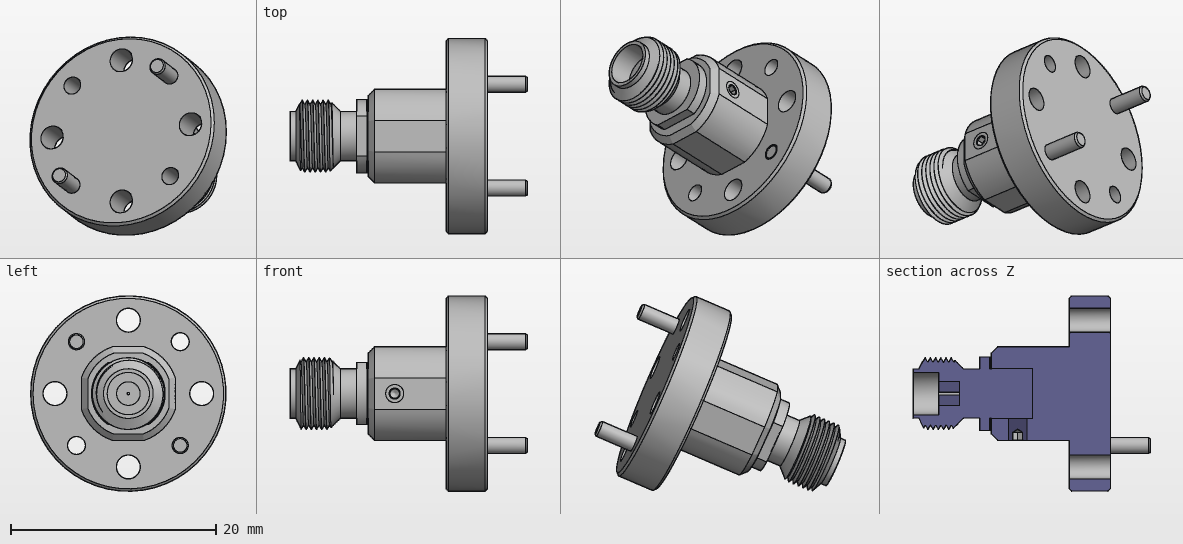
import cadquery as cq
import math


flange_radius = 19.05 / 2
flange_thickness = 4.05
flange_chamfer = 0.25
bolt_circle_radius = 14.29 / 2
screw_hole_radius = 1.15
guide_hole_radius = 0.86

pin_radius = 0.79
pin_protrusion = 3.88
pin_chamfer_length = 0.2
pin_chamfer_depth = 0.13

barrel_length = 7.58
barrel_radius = 4.82
barrel_across_flats = 9.14
barrel_chamfer = 0.63
barrel_front = -flange_thickness - barrel_length

connector_length = 7.61
connector_front = barrel_front - connector_length
neck_radius = 2.42
shank_length = 4.0
collar_gap = 0.12
collar_width = 1.01
collar_radius = 3.6
collar_across_flats = 6.06
bore_radius = 2.06
bore_depth = 2.5

thread_radius = 3.5
thread_pitch = 0.508
thread_flank_angle = 30
thread_lead_in = 0.56
thread_lead_angle = 64
thread_zone_length = 4.34
groove_width = 0.95 * thread_pitch
groove_depth = groove_width / 2 / math.tan(math.radians(thread_flank_angle))
root_radius = thread_radius - groove_depth
groove_overshoot = 0.05
groove_run_in = 0.21
groove_turns = 11

bead_radius = 1.15
bead_length = 2.0
bead_hole_radius = 0.12

set_screw_radius = 0.88
set_screw_x = -flange_thickness - 5.0
set_screw_outer_y = -barrel_across_flats / 2
set_screw_length = barrel_across_flats / 2 - neck_radius
socket_mouth_radius = 0.54
socket_corner_radius = 0.53
socket_sides = 6
socket_turn = 180 / socket_sides
socket_depth = 0.8
socket_floor_radius = socket_corner_radius * math.cos(math.pi / socket_sides)
socket_floor_depth = 0.3


def cylinder_x(radius, x_start, length):
    return cq.Workplane("YZ", origin=(x_start, 0, 0)).circle(radius).extrude(length)


def revolve_x(points):
    return cq.Workplane("XY").polyline(points).close().revolve(360, (0, 0, 0), (1, 0, 0))


def on_bolt_circle(angle):
    turn = math.radians(angle)
    return bolt_circle_radius * math.cos(turn), bolt_circle_radius * math.sin(turn)


screw_hole_places = [on_bolt_circle(angle) for angle in (0, 90, 180, 270)]
pin_places = [on_bolt_circle(angle) for angle in (45, 225)]
guide_hole_places = [on_bolt_circle(angle) for angle in (135, 315)]


def flange_holes(places, radius):
    plane = cq.Workplane("YZ", origin=(-flange_thickness, 0, 0))
    return plane.pushPoints(places).circle(radius).extrude(flange_thickness)


def set_screw_cylinder():
    plane = cq.Workplane("XZ", origin=(set_screw_x, set_screw_outer_y, 0))
    return plane.circle(set_screw_radius).extrude(-set_screw_length)


def make_housing():
    flange = cylinder_x(flange_radius, -flange_thickness, flange_thickness)
    flange = flange.edges().chamfer(flange_chamfer)
    flats = cq.Workplane("YZ", origin=(barrel_front, 0, 0))
    flats = flats.rect(barrel_across_flats, barrel_across_flats).extrude(barrel_length)
    flats = flats.faces("<X").chamfer(barrel_chamfer)
    barrel = cylinder_x(barrel_radius, barrel_front, barrel_length)
    barrel = barrel.faces("<X").chamfer(barrel_chamfer).intersect(flats)
    housing = flange.union(barrel)
    housing = housing.cut(flange_holes(screw_hole_places, screw_hole_radius))
    housing = housing.cut(flange_holes(guide_hole_places, guide_hole_radius))
    housing = housing.cut(flange_holes(pin_places, pin_radius))
    housing = housing.cut(cylinder_x(neck_radius, barrel_front, shank_length))
    return housing.cut(set_screw_cylinder())


def make_pin(y, z):
    pin_length = flange_thickness + pin_protrusion
    shoulder = pin_radius - pin_chamfer_depth
    pin = revolve_x([
        (0, 0),
        (0, shoulder),
        (pin_chamfer_length, pin_radius),
        (pin_length - pin_chamfer_length, pin_radius),
        (pin_length, shoulder),
        (pin_length, 0),
    ])
    return pin.translate((-flange_thickness, y, z))


def make_thread_zone():
    """Blank for the thread, with a steep lead-in cone in front and a 45 degree cone behind."""
    start = connector_front + thread_lead_in
    end = start + thread_zone_length
    rise = thread_radius - neck_radius
    return revolve_x([
        (start, 0),
        (start, neck_radius),
        (start + rise / math.tan(math.radians(thread_lead_angle)), thread_radius),
        (end - rise, thread_radius),
        (end, neck_radius),
        (end, 0),
    ])


def make_thread_groove():
    """Right-handed V groove, longer than the thread zone at both ends."""
    half_width = groove_width / 2
    outer = thread_radius + groove_overshoot
    helix = cq.Wire.makeHelix(thread_pitch, groove_turns * thread_pitch, root_radius)
    profile = cq.Workplane("XZ").polyline([
        (root_radius, 0),
        (thread_radius, -half_width),
        (outer, -half_width),
        (outer, half_width),
        (thread_radius, half_width),
    ]).close()
    groove = profile.sweep(cq.Workplane(helix), isFrenet=True)
    groove = groove.rotate((0, 0, 0), (0, 1, 0), 90)
    return groove.translate((connector_front - groove_run_in, 0, 0))


def make_collar():
    start = barrel_front - collar_gap - collar_width
    flats = cq.Workplane("YZ", origin=(start, 0, 0))
    flats = flats.rect(2 * collar_radius, collar_across_flats).extrude(collar_width)
    return cylinder_x(collar_radius, start, collar_width).intersect(flats)


def make_connector():
    thread = make_thread_zone().cut(make_thread_groove())
    connector = cylinder_x(neck_radius, connector_front, connector_length + shank_length)
    connector = connector.union(make_collar())
    connector = connector.union(thread)
    connector = connector.cut(cylinder_x(bore_radius, connector_front, bore_depth))
    return connector.cut(cylinder_x(bead_radius, connector_front + bore_depth, bead_length))


def make_bead():
    start = connector_front + bore_depth
    hole = cylinder_x(bead_hole_radius, start, bead_length)
    return cylinder_x(bead_radius, start, bead_length).cut(hole)


def make_set_screw():
    """Headless screw whose hexagon socket has a countersunk mouth and a conical floor."""
    inward = cq.Vector(0, 1, 0)
    mouth_centre = cq.Vector(set_screw_x, set_screw_outer_y, 0)
    floor_centre = mouth_centre + inward * socket_depth
    mouth_depth = socket_mouth_radius
    mouth = cq.Solid.makeCone(socket_mouth_radius, 0, mouth_depth, mouth_centre, inward)
    floor = cq.Solid.makeCone(socket_floor_radius, 0, socket_floor_depth, floor_centre, inward)
    hexagon = cq.Workplane("XZ", origin=mouth_centre.toTuple())
    hexagon = hexagon.transformed(rotate=(0, 0, socket_turn))
    hexagon = hexagon.polygon(socket_sides, 2 * socket_corner_radius).extrude(-socket_depth)
    screw = set_screw_cylinder().cut(hexagon)
    return screw.cut(cq.Workplane(mouth)).cut(cq.Workplane(floor))


housing = make_housing()
pins = [make_pin(y, z) for y, z in pin_places]
connector = make_connector()
bead = make_bead()
set_screw = make_set_screw()

result = cq.Compound.makeCompound([
    housing.val(),
    *[pin.val() for pin in pins],
    connector.val(),
    bead.val(),
    set_screw.val(),
])